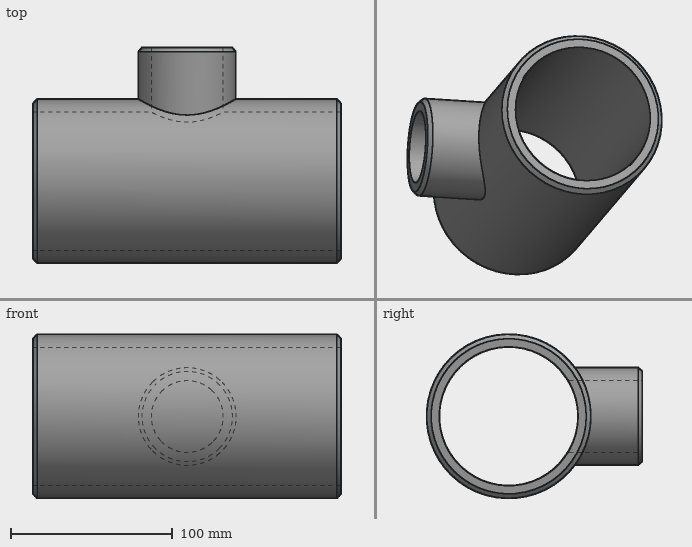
import cadquery as cq

run_length = 190.5
run_diameter = 101.5
run_bore = 85.5
wall = (run_diameter - run_bore) / 2

overall_width = 133.4
branch_reach = overall_width - run_diameter / 2
branch_diameter = 60.4
branch_bore = branch_diameter - 2 * wall

bevel_length = 2.7
run_bevel_depth = 2.9
branch_bevel_depth = 2.3


def run_cylinder(diameter):
    """Cylinder along X over the full run length."""
    return cq.Workplane("YZ").circle(diameter / 2).extrude(run_length / 2, both=True)


def branch_cylinder(diameter):
    """Cylinder along +Y from the run axis to the branch end."""
    return cq.Workplane("XZ").circle(diameter / 2).extrude(-branch_reach)


run = run_cylinder(run_diameter)
for end in ("<X", ">X"):
    run = run.faces(end).edges().chamfer(bevel_length, run_bevel_depth)
branch = branch_cylinder(branch_diameter).faces(">Y").edges().chamfer(bevel_length, branch_bevel_depth)

result = run.union(branch).cut(run_cylinder(run_bore)).cut(branch_cylinder(branch_bore))